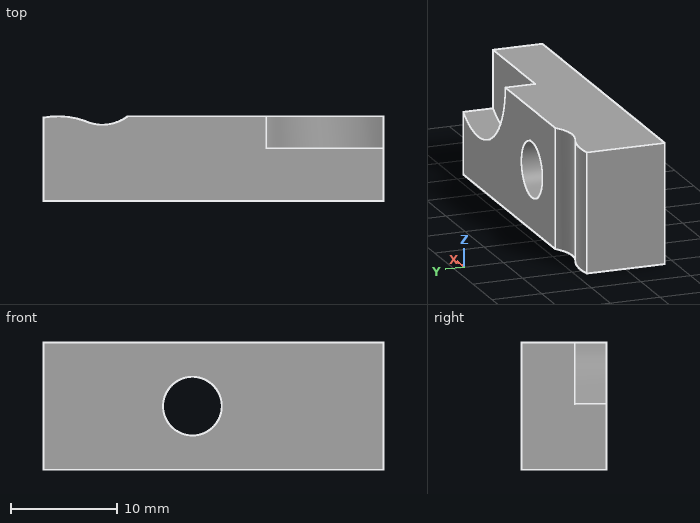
import cadquery as cq

length = 32.0
depth = 8.0
height = 12.0

hole_diameter = 5.5
hole_x = 14.0
hole_z = height / 2

recess_depth = 3.0
recess_radius = 7.05
recess_start_x = 20.95
recess_center_x = recess_start_x + recess_radius
recess_center_z = height

end_drop = 0.13
crest_x = 1.35
blend_x = 3.85
blend_drop = 0.4
hollow_x = 5.55
hollow_drop = 0.8
wave_end_x = 7.95


def wavy_block():
    """Full-height block with the wave along its back edge."""
    return (
        cq.Workplane("XY")
        .lineTo(length, 0)
        .lineTo(length, depth)
        .lineTo(wave_end_x, depth)
        .threePointArc((hollow_x, depth - hollow_drop), (blend_x, depth - blend_drop))
        .threePointArc((crest_x, depth), (0, depth - end_drop))
        .close()
        .extrude(height)
    )


def cross_hole():
    """Cutter for the plain hole through the depth."""
    return (
        cq.Workplane("XZ")
        .center(hole_x, hole_z)
        .circle(hole_diameter / 2)
        .extrude(-depth)
    )


def back_recess():
    """Round cutter centered on the top face, so its lower half scoops the back face."""
    return (
        cq.Workplane("XZ", origin=(0, depth, 0))
        .center(recess_center_x, recess_center_z)
        .circle(recess_radius)
        .extrude(recess_depth)
    )


result = wavy_block().cut(cross_hole()).cut(back_recess())